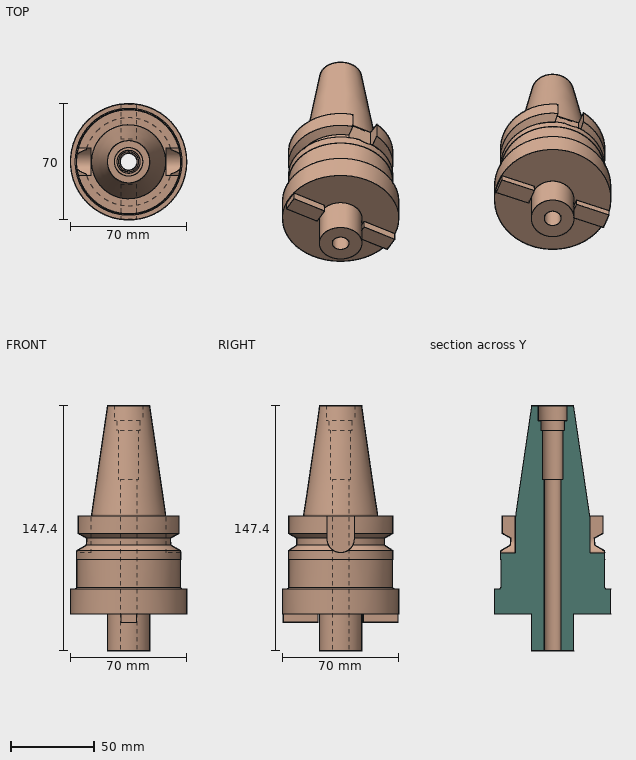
import cadquery as cq

total_height = 147.4
spigot_length = 22.1
flange_top = 37.3
relief_height = 0.7
band_bottom = 55.0
band_top = 60.3
groove_bottom = 63.5
groove_top = 67.8
collar_bottom = 70.6
collar_top = 81.2
taper_bottom = 82.1

spigot_radius = 12.8
flange_diameter = 70.0
flange_radius = flange_diameter / 2
body_radius = 31.2
relief_radius = 32.1
collar_radius = 31.4
groove_radius = 26.5
taper_base_radius = 22.3
taper_tip_radius = 12.7

counterbore_radius = 8.5
counterbore_depth = 9.0
bore_mouth_radius = 7.0
thread_radius = 6.0
mouth_depth = 5.9
thread_depth = 29.5
through_radius = 5.0

slot_width = 16.4
slot_bottom = 59.1
slot_floor_distance = 22.5

key_width = 9.5
key_height = 5.0
key_inner_distance = 13.5
key_outer_distance = 34.5


def revolve_profile(points):
    """Revolve a closed (radius, height) outline about the Z axis."""
    return cq.Workplane("XZ").polyline(points).close().revolve(360, (0, 0), (0, 1))


def make_body():
    return revolve_profile([
        (0, 0),
        (spigot_radius, 0),
        (spigot_radius, spigot_length),
        (flange_radius, spigot_length),
        (flange_radius, flange_top),
        (relief_radius, flange_top),
        (body_radius, flange_top + relief_height),
        (body_radius, band_bottom),
        (collar_radius, band_bottom),
        (collar_radius, band_top),
        (groove_radius, groove_bottom),
        (groove_radius, groove_top),
        (collar_radius, collar_bottom),
        (collar_radius, collar_top),
        (taper_base_radius, collar_top),
        (taper_base_radius, taper_bottom),
        (taper_tip_radius, total_height),
        (0, total_height),
    ])


def make_bore():
    counterbore_floor = total_height - counterbore_depth
    mouth_bottom = counterbore_floor - mouth_depth
    thread_bottom = mouth_bottom - thread_depth
    return revolve_profile([
        (0, 0),
        (through_radius, 0),
        (through_radius, thread_bottom),
        (thread_radius, thread_bottom),
        (thread_radius, mouth_bottom),
        (bore_mouth_radius, mouth_bottom),
        (bore_mouth_radius, counterbore_floor),
        (counterbore_radius, counterbore_floor),
        (counterbore_radius, total_height),
        (0, total_height),
    ])


def make_slot(side):
    """Slot cutter open at the collar top; side is +1 for +X or -1 for -X."""
    half_width = slot_width / 2
    arc_height = slot_bottom + half_width
    return (
        cq.Workplane("YZ", origin=(side * slot_floor_distance, 0, 0))
        .moveTo(-half_width, taper_bottom)
        .lineTo(-half_width, arc_height)
        .threePointArc((0, slot_bottom), (half_width, arc_height))
        .lineTo(half_width, taper_bottom)
        .close()
        .extrude(side * flange_radius)
    )


def make_key(side):
    """Drive key below the flange; side is +1 for +Y or -1 for -Y."""
    key_length = key_outer_distance - key_inner_distance
    key_center = (key_outer_distance + key_inner_distance) / 2
    return (
        cq.Workplane("XY", origin=(0, side * key_center, spigot_length - key_height))
        .rect(key_width, key_length)
        .extrude(key_height)
    )


result = make_body().cut(make_bore())
for side in (-1, 1):
    result = result.cut(make_slot(side)).union(make_key(side))